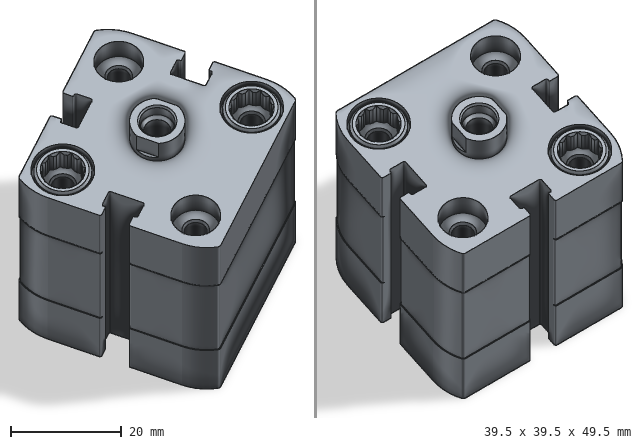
import cadquery as cq
import math


SIDE = 39.5
CAP_HEIGHT = 12.0
BARREL_HEIGHT = 20.05
BARREL_INSET = 0.2
BARREL_TOP = CAP_HEIGHT + BARREL_HEIGHT
HOUSING_TOP = BARREL_TOP + CAP_HEIGHT

CORNER_RADIUS = 11.5
CORNER_CENTRE_X = 13.15
CORNER_CENTRE_Y = SIDE / 2 - CORNER_RADIUS
CORNER_FILLET = 0.75

SLOT_OPENING = 5.4
SLOT_WIDTH = 7.0
SLOT_LIP = 2.2
SLOT_DEPTH = 5.65
SLOT_FILLET = 0.4
LIP_INNER_FILLET = 0.2
SLOT_TURNS = (0, 90, 180)

HOLE_OFFSET = 13.0
HOLE_DIAMETER = 4.15
COUNTERSINK_DIAMETER = 5.0
COUNTERSINK_DEPTH = (COUNTERSINK_DIAMETER - HOLE_DIAMETER) / 2
COUNTERBORE_DIAMETER = 9.0
COUNTERBORE_FLOOR = HOUSING_TOP - 4.7

GROOVE_DIAMETER = 11.5
GROOVE_DEPTH = 2.0
HEAD_DIAMETER = 10.5
HEAD_CHAMFER = 0.5
SOCKET_MOUTH_DIAMETER = 8.15
SOCKET_MOUTH_DEPTH = 0.65
SOCKET_BORE = 7.5
SOCKET_TEETH = 12
TOOTH_POINT_DIAMETER = 7.35

ROD_DIAMETER = 10.0
ROD_RADIUS = ROD_DIAMETER / 2
ROD_TOP = 49.5
ROD_BOTTOM = BARREL_TOP
FLATS_WIDTH = 9.0
FLATS_BOTTOM = ROD_TOP - 4.25
FLATS_LEDGE_DROP = 0.25

ROD_BORE_RADIUS = 6.4 / 2
ROD_BORE_CHAMFER = 0.35
ROD_BORE_DEPTH = 2.55
ROD_STEP_DROP = 0.5
ROD_DRILL_RADIUS = 4.9 / 2
ROD_DRILL_DEPTH = 7.9
DRILL_TIP_ANGLE = 118


def cylinder(diameter, bottom, top):
    return cq.Workplane("XY").workplane(offset=bottom).circle(diameter / 2).extrude(top - bottom)


def cone(bottom_diameter, top_diameter, bottom, top):
    return (
        cq.Workplane("XY")
        .workplane(offset=bottom)
        .circle(bottom_diameter / 2)
        .workplane(offset=top - bottom)
        .circle(top_diameter / 2)
        .loft()
    )


def block(inset, height):
    """Square block with four large corner arcs, its outline moved inward by the inset."""
    half = SIDE / 2 - inset
    radius = CORNER_RADIUS - inset
    turn = math.asin((half - CORNER_CENTRE_X) / radius)
    arc_end_y = CORNER_CENTRE_Y + radius * math.cos(turn)
    arc_mid_x = CORNER_CENTRE_X + radius * math.sin(turn / 2)
    arc_mid_y = CORNER_CENTRE_Y + radius * math.cos(turn / 2)
    right_half = (
        cq.Workplane("XY")
        .moveTo(0, half)
        .lineTo(CORNER_CENTRE_X, half)
        .threePointArc((arc_mid_x, arc_mid_y), (half, arc_end_y))
        .lineTo(half, -arc_end_y)
        .threePointArc((arc_mid_x, -arc_mid_y), (CORNER_CENTRE_X, -half))
        .lineTo(0, -half)
        .close()
        .extrude(height)
        .edges("|Z and >X")
        .fillet(CORNER_FILLET)
    )
    return right_half.union(right_half.mirror("YZ"))


def t_slot(inset, height):
    """Cutter for the slot in the +Y side: a wide undercut behind a narrow opening with rounded lips."""
    face_y = SIDE / 2 - inset
    lip_y = SIDE / 2 - SLOT_LIP
    floor_y = SIDE / 2 - SLOT_DEPTH
    half_opening = SLOT_OPENING / 2
    half_width = SLOT_WIDTH / 2
    half_mouth = half_opening + SLOT_FILLET
    bulge = SLOT_FILLET * (1 - math.sqrt(0.5))
    outline = (
        cq.Workplane("XY")
        .moveTo(half_mouth, face_y)
        .threePointArc(
            (half_opening + bulge, face_y - bulge),
            (half_opening, face_y - SLOT_FILLET),
        )
        .lineTo(half_opening, lip_y)
        .lineTo(half_width, lip_y)
        .lineTo(half_width, floor_y)
        .lineTo(-half_width, floor_y)
        .lineTo(-half_width, lip_y)
        .lineTo(-half_opening, lip_y)
        .lineTo(-half_opening, face_y - SLOT_FILLET)
        .threePointArc(
            (-half_opening - bulge, face_y - bulge),
            (-half_mouth, face_y),
        )
        .close()
    )
    cutter = outline.extrude(height)
    lip_edges = cq.selectors.BoxSelector(
        (-half_opening - LIP_INNER_FILLET, lip_y - LIP_INNER_FILLET, 0),
        (half_opening + LIP_INNER_FILLET, lip_y + LIP_INNER_FILLET, height),
    )
    cutter = cutter.edges("|Z").edges(lip_edges).fillet(LIP_INNER_FILLET)
    return cutter.edges("|Z and (>X or <X)").fillet(SLOT_FILLET)


def section(inset, bottom, height):
    """One height of the housing with its three slots."""
    body = block(inset, height)
    slot = t_slot(inset, height)
    for turn in SLOT_TURNS:
        body = body.cut(slot.rotate((0, 0, 0), (0, 0, 1), turn))
    return body.translate((0, 0, bottom))


def through_hole():
    countersink_bottom = COUNTERBORE_FLOOR - COUNTERSINK_DEPTH
    countersink = cone(HOLE_DIAMETER, COUNTERSINK_DIAMETER, countersink_bottom, COUNTERBORE_FLOOR)
    return cylinder(HOLE_DIAMETER, 0, COUNTERBORE_FLOOR).union(countersink)


def counterbored_hole():
    return through_hole().union(cylinder(COUNTERBORE_DIAMETER, COUNTERBORE_FLOOR, HOUSING_TOP))


def ring_groove():
    """Groove around a socket head, wider at the top where the head is chamfered."""
    groove_bottom = HOUSING_TOP - GROOVE_DEPTH
    head = cylinder(HEAD_DIAMETER, groove_bottom, HOUSING_TOP).faces(">Z").chamfer(HEAD_CHAMFER)
    return cylinder(GROOVE_DIAMETER, groove_bottom, HOUSING_TOP).cut(head)


def toothed_socket():
    """Star-shaped socket whose tooth tips are trimmed by a round bore, with a conical mouth."""
    points = []
    for tooth in range(SOCKET_TEETH):
        valley_angle = 2 * math.pi * tooth / SOCKET_TEETH
        tip_angle = valley_angle + math.pi / SOCKET_TEETH
        for diameter, angle in ((SOCKET_MOUTH_DIAMETER, valley_angle), (TOOTH_POINT_DIAMETER, tip_angle)):
            points.append((diameter / 2 * math.cos(angle), diameter / 2 * math.sin(angle)))
    star = (
        cq.Workplane("XY")
        .workplane(offset=COUNTERBORE_FLOOR)
        .polyline(points)
        .close()
        .extrude(HOUSING_TOP - COUNTERBORE_FLOOR)
    )
    bore = cylinder(SOCKET_BORE, COUNTERBORE_FLOOR, HOUSING_TOP)
    mouth = cone(SOCKET_BORE, SOCKET_MOUTH_DIAMETER, HOUSING_TOP - SOCKET_MOUTH_DEPTH, HOUSING_TOP)
    return star.union(bore).union(mouth)


def make_housing():
    body = section(0, 0, CAP_HEIGHT)
    body = body.union(section(BARREL_INSET, CAP_HEIGHT, BARREL_HEIGHT))
    body = body.union(section(0, BARREL_TOP, CAP_HEIGHT))
    socket_hole = toothed_socket().union(through_hole())
    for offset in (-HOLE_OFFSET, HOLE_OFFSET):
        body = body.cut(counterbored_hole().translate((offset, -offset, 0)))
        body = body.cut(socket_hole.translate((offset, offset, 0)))
        body = body.cut(ring_groove().translate((offset, offset, 0)))
    return body.cut(cylinder(ROD_DIAMETER, ROD_BOTTOM, HOUSING_TOP))


def wrench_flat():
    """Cutter for the +Y flat, with a ledge that slopes down outward."""
    flat_y = FLATS_WIDTH / 2
    profile = [
        (flat_y, ROD_TOP),
        (flat_y, FLATS_BOTTOM),
        (ROD_RADIUS, FLATS_BOTTOM - FLATS_LEDGE_DROP),
        (ROD_RADIUS, ROD_TOP),
    ]
    return cq.Workplane("YZ").polyline(profile).close().extrude(ROD_RADIUS, both=True)


def rod_hole():
    """Chamfered bore that steps down through a cone to a drilled hole with a pointed end."""
    step_top = ROD_TOP - ROD_BORE_DEPTH
    drill_end = ROD_TOP - ROD_DRILL_DEPTH
    tip_length = ROD_DRILL_RADIUS / math.tan(math.radians(DRILL_TIP_ANGLE / 2))
    profile = [
        (0, drill_end - tip_length),
        (ROD_DRILL_RADIUS, drill_end),
        (ROD_DRILL_RADIUS, step_top - ROD_STEP_DROP),
        (ROD_BORE_RADIUS, step_top),
        (ROD_BORE_RADIUS, ROD_TOP - ROD_BORE_CHAMFER),
        (ROD_BORE_RADIUS + ROD_BORE_CHAMFER, ROD_TOP),
        (0, ROD_TOP),
    ]
    return cq.Workplane("XZ").polyline(profile).close().revolve(360, (0, 0), (0, 1))


def make_rod():
    body = cylinder(ROD_DIAMETER, ROD_BOTTOM, ROD_TOP)
    flat = wrench_flat()
    body = body.cut(flat).cut(flat.mirror("XZ"))
    return body.cut(rod_hole())


housing = make_housing()
rod = make_rod()
result = cq.Compound.makeCompound([housing.val(), rod.val()])